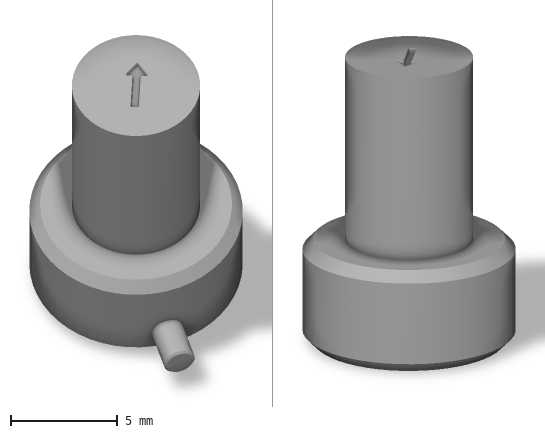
import cadquery as cq

total_height = 14.0
head_diameter = 10.0
head_height = 5.0
head_chamfer = 0.5
shaft_diameter = 6.0
shaft_height = total_height - head_height

dial_diameter = 3.1
dial_height = shaft_height

arrow_angle = 160.0
arrow_tip = 1.39
arrow_tail = 1.27
arrow_neck = 0.59
arrow_stem_width = 0.39
arrow_head_width = 1.12
arrow_corner_radius = 0.05
arrow_depth = 0.2
arrow_wall_slope = 15.0

pin_diameter = 1.5
pin_center_height = 1.5
pin_protrusion = 2.0
pin_insertion = pin_protrusion
pin_chamfer = 0.1
pin_outer_end = head_diameter / 2 + pin_protrusion
pin_length = pin_insertion + pin_protrusion


def pin_cylinder():
    """Plain cylinder that fills the pin hole and reaches the pin's outer end."""
    return (
        cq.Workplane("YZ", origin=(pin_outer_end - pin_length, 0, pin_center_height))
        .circle(pin_diameter / 2)
        .extrude(pin_length)
    )


def dial_cylinder():
    """Plain cylinder that fills the dial's seat in the shaft."""
    return (
        cq.Workplane("XY", origin=(0, 0, total_height - dial_height))
        .circle(dial_diameter / 2)
        .extrude(dial_height)
    )


def make_housing():
    """Head and shaft, with the seats for the dial and the pin."""
    head = (
        cq.Workplane("XY")
        .circle(head_diameter / 2)
        .extrude(head_height)
        .edges()
        .chamfer(head_chamfer)
    )
    shaft = (
        cq.Workplane("XY", origin=(0, 0, head_height))
        .circle(shaft_diameter / 2)
        .extrude(shaft_height)
    )
    return head.union(shaft).cut(dial_cylinder()).cut(pin_cylinder())


def arrow_recess():
    """Arrow-shaped cutter, narrowing downwards from the dial's top face."""
    stem_side = arrow_stem_width / 2
    head_side = arrow_head_width / 2
    outline = [
        (arrow_tip, 0),
        (arrow_neck, head_side),
        (arrow_neck, stem_side),
        (-arrow_tail, stem_side),
        (-arrow_tail, -stem_side),
        (arrow_neck, -stem_side),
        (arrow_neck, -head_side),
    ]
    return (
        cq.Workplane("XY", origin=(0, 0, total_height))
        .polyline(outline)
        .close()
        .offset2D(-arrow_corner_radius)
        .offset2D(arrow_corner_radius)
        .extrude(-arrow_depth, taper=arrow_wall_slope)
        .rotate((0, 0, 0), (0, 0, 1), arrow_angle)
    )


def make_dial():
    """Round dial with the sunken arrow in its top face."""
    return dial_cylinder().cut(arrow_recess())


def make_pin():
    """Pin with a small chamfer around its outer end."""
    return pin_cylinder().faces(">X").edges().chamfer(pin_chamfer)


housing = make_housing()
dial = make_dial()
pin = make_pin()

result = cq.Compound.makeCompound([housing.val(), dial.val(), pin.val()])